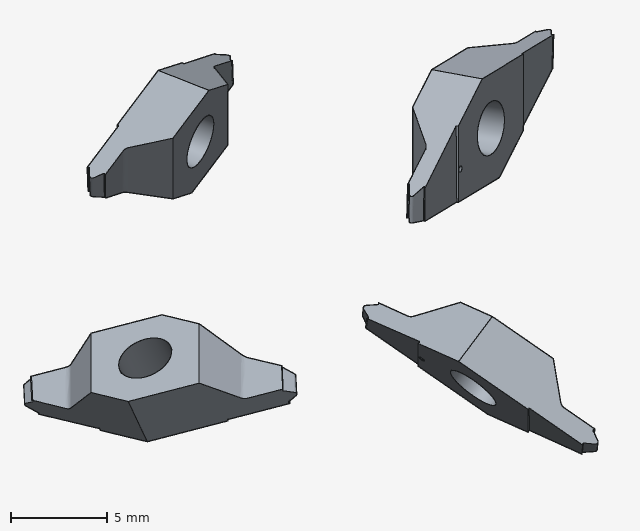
import cadquery as cq
import math

length = 15.0
height = 6.0
width = 3.0
half_length = length / 2
half_height = height / 2
half_width = width / 2

slope_angle = 35.0
slope_start = 0.93

relief_depth = 0.09
relief_start = 3.51
arm_width = 1.08
ramp_start = 2.97
ramp_fillet = 0.45
side_clearance = 0.5
front_clearance = 2.0

tooth_half_angle = 30.0
tooth_nose_radius = 0.14
shoulder_y = -6.9
corner_lip = 0.05
lip_width = 0.05

hole_diameter = 2.91
dimple_radius = 0.16
dimple_depth = 0.16
dimple_y = 3.28
dimple_z = -1.23


def arm_wire(drop):
    """Plan outline of the -Y half, at a distance below its cutting edge."""
    side_inset = drop * math.tan(math.radians(side_clearance))
    setback = drop * math.tan(math.radians(front_clearance))
    left = -half_width + relief_depth + side_inset
    right = -half_width + relief_depth + arm_width - side_inset
    middle = (left + right) / 2
    shoulder = shoulder_y + setback
    corner = shoulder - corner_lip
    tip = -half_length + setback

    angle = math.radians(tooth_half_angle)
    nose_half_width = tooth_nose_radius * math.cos(angle)
    nose_y = tip + tooth_nose_radius * (1 - math.sin(angle))
    flank_half_width = nose_half_width + (shoulder - nose_y) * math.tan(angle)

    ramp_foot = -ramp_start - (half_width - right)
    half_turn = math.radians(22.5)
    fillet_reach = ramp_fillet * math.tan(half_turn)
    diagonal = math.sqrt(0.5)
    fillet_middle = (
        right + ramp_fillet * (1 - math.cos(half_turn)),
        ramp_foot - fillet_reach + ramp_fillet * math.sin(half_turn),
    )
    fillet_end = (right + fillet_reach * diagonal, ramp_foot + fillet_reach * diagonal)

    return (
        cq.Workplane("XY", origin=(0, 0, half_height - drop))
        .moveTo(-half_width, 0)
        .lineTo(-half_width, -relief_start)
        .lineTo(left, -relief_start)
        .lineTo(left, corner)
        .lineTo(left + lip_width, shoulder)
        .lineTo(middle - flank_half_width, shoulder)
        .lineTo(middle - nose_half_width, nose_y)
        .threePointArc((middle, tip), (middle + nose_half_width, nose_y))
        .lineTo(middle + flank_half_width, shoulder)
        .lineTo(right - lip_width, shoulder)
        .lineTo(right, corner)
        .lineTo(right, ramp_foot - fillet_reach)
        .threePointArc(fillet_middle, fillet_end)
        .lineTo(half_width, -ramp_start)
        .lineTo(half_width, 0)
        .close()
        .val()
    )


def side_plate():
    """Plate with the sloped end outline, spanning the full width."""
    slope_rise = (half_length - slope_start) * math.tan(math.radians(slope_angle))
    outline = [
        (-half_length, half_height),
        (slope_start, half_height),
        (half_length, half_height - slope_rise),
        (half_length, -half_height),
        (-slope_start, -half_height),
        (-half_length, -half_height + slope_rise),
    ]
    return cq.Workplane("YZ", origin=(-half_width, 0, 0)).polyline(outline).close().extrude(width)


half = cq.Workplane(obj=cq.Solid.makeLoft([arm_wire(0), arm_wire(height)], True))
other_half = half.rotate((0, 0, 0), (1, 0, 0), 180)
body = half.union(other_half).intersect(side_plate())

hole = (
    cq.Workplane("YZ", origin=(-half_width, 0, 0))
    .circle(hole_diameter / 2)
    .extrude(width)
)

dimple = cq.Workplane(
    obj=cq.Solid.makeCone(
        dimple_radius,
        0,
        dimple_depth,
        pnt=cq.Vector(-half_width, dimple_y, dimple_z),
        dir=cq.Vector(1, 0, 0),
    )
)

result = body.cut(hole).cut(dimple)